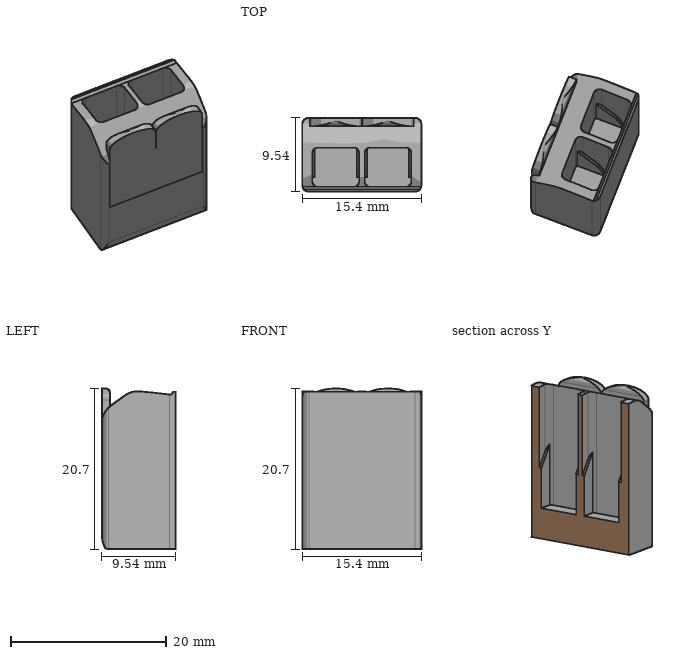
import cadquery as cq
import math

WIDTH = 15.38
DEPTH = 9.54
HEIGHT = 20.73
FRONT = -DEPTH / 2
BACK = DEPTH / 2

CORNER_RADIUS = 0.85
CROWN_Z = 20.3
LIP_TOP_WIDTH = 0.31
LIP_WIDTH = 0.62
LIP_ROOT_Z = 19.92
CROWN_RISE_MID = (-2.28, 20.15)
CROWN_FRONT_Y = -0.77
CROWN_BACK_Y = 0.79
SHOULDER_MID = (1.55, 19.98)
SHOULDER_END = (2.35, 19.42)
SLOPE_END_Z = 18.22
BACK_TOP_Z = 16.58
BACK_TOP_MID = (4.44, 17.54)
BACK_BOTTOM_Z = 1.75

PITCH = 6.74
CELL_CENTERS = (-PITCH / 2, PITCH / 2)
POCKET_WIDTH = 6.05
POCKET_FRONT_Y = FRONT + LIP_WIDTH
POCKET_BACK_Y = 0.93
POCKET_RADIUS = 0.77
POCKET_FLOOR_Z = 4.15

RIB_WIDTH = 0.33
RIB_TOP_Z = 12.44
RIB_BEND_Y = -1.93
RIB_BEND_Z = 8.3
RIB_NOSE_Y = -2.92
RIB_NOSE_MID = (-2.63, 6.22)

TAB_GAP = 0.06
TAB_WIDTH = PITCH - TAB_GAP
TAB_THICKNESS = 1.08
TAB_FRONT_Y = BACK - TAB_THICKNESS
TAB_CROWN_RISE = 1.47
TAB_SHOULDER_Z = HEIGHT - TAB_CROWN_RISE
TAB_EDGE_THICKNESS = 0.4
TAB_EDGE_DROP = 0.79
INSERT_WIDTH = PITCH + TAB_WIDTH
INSERT_BOTTOM_Z = 8.3
INSERT_BASE_TOP_Z = 16.17


def housing_block():
    """Side profile extruded across X, with rounded vertical corners."""
    slope_end_y = BACK - CORNER_RADIUS
    bottom_mid = (
        slope_end_y + CORNER_RADIUS * math.sqrt(0.5),
        BACK_BOTTOM_Z * (1 - math.sqrt(0.5)),
    )
    top_curve = [
        CROWN_RISE_MID,
        (CROWN_FRONT_Y, CROWN_Z),
        (CROWN_BACK_Y, CROWN_Z),
        SHOULDER_MID,
        SHOULDER_END,
        (slope_end_y, SLOPE_END_Z),
        BACK_TOP_MID,
        (BACK, BACK_TOP_Z),
    ]
    profile = (
        cq.Workplane("YZ", origin=(-WIDTH / 2, 0, 0))
        .moveTo(FRONT, 0)
        .lineTo(FRONT, CROWN_Z)
        .lineTo(FRONT + LIP_TOP_WIDTH, CROWN_Z)
        .lineTo(FRONT + LIP_WIDTH, LIP_ROOT_Z)
        .spline(top_curve, includeCurrent=True)
        .lineTo(BACK, BACK_BOTTOM_Z)
        .spline(
            [bottom_mid, (slope_end_y, 0)],
            tangents=[(0, -1), (-1, 0)],
            includeCurrent=True,
        )
        .close()
        .extrude(WIDTH)
    )
    rounded_outline = (
        cq.Workplane("XY").rect(WIDTH, DEPTH).extrude(HEIGHT).edges("|Z").fillet(CORNER_RADIUS)
    )
    return profile.intersect(rounded_outline)


def pocket(center_x):
    """Rounded rectangular pocket, open at the top."""
    length = POCKET_BACK_Y - POCKET_FRONT_Y
    center_y = (POCKET_BACK_Y + POCKET_FRONT_Y) / 2
    return (
        cq.Workplane("XY", origin=(center_x, center_y, POCKET_FLOOR_Z))
        .rect(POCKET_WIDTH, length)
        .extrude(HEIGHT - POCKET_FLOOR_Z)
        .edges("|Z")
        .fillet(POCKET_RADIUS)
    )


def guide_rib(start_x):
    """Ramp with a curved nose, rising towards the back of a pocket."""
    return (
        cq.Workplane("YZ", origin=(start_x, 0, 0))
        .moveTo(POCKET_BACK_Y, POCKET_FLOOR_Z)
        .lineTo(POCKET_BACK_Y, RIB_TOP_Z)
        .lineTo(RIB_BEND_Y, RIB_BEND_Z)
        .threePointArc(RIB_NOSE_MID, (RIB_NOSE_Y, POCKET_FLOOR_Z))
        .close()
        .extrude(RIB_WIDTH)
    )


def insert_slot():
    """Slot across the back that holds the tab insert."""
    return cq.Workplane("XY", origin=(0, BACK, INSERT_BOTTOM_Z)).box(
        INSERT_WIDTH, 2 * TAB_THICKNESS, HEIGHT, centered=(True, True, False)
    )


def make_housing():
    housing = housing_block().cut(insert_slot())
    for center_x in CELL_CENTERS:
        cavity = pocket(center_x)
        left_rib_x = center_x - POCKET_WIDTH / 2
        right_rib_x = center_x + POCKET_WIDTH / 2 - RIB_WIDTH
        for rib_x in (left_rib_x, right_rib_x):
            cavity = cavity.cut(guide_rib(rib_x))
        housing = housing.cut(cavity)
    return housing


def tab(center_x):
    """Upright tab with an elliptical crown and a rounded upper front edge."""
    half = TAB_WIDTH / 2
    crown = (
        cq.Workplane("XZ", origin=(center_x, BACK, 0))
        .moveTo(-half, INSERT_BASE_TOP_Z)
        .lineTo(half, INSERT_BASE_TOP_Z)
        .lineTo(half, TAB_SHOULDER_Z)
        .ellipseArc(half, TAB_CROWN_RISE, 0, 180, startAtCurrent=True)
        .close()
        .extrude(TAB_THICKNESS)
    )
    side = (
        cq.Workplane("YZ", origin=(center_x - half, 0, 0))
        .moveTo(BACK, INSERT_BASE_TOP_Z)
        .lineTo(BACK, HEIGHT)
        .lineTo(BACK - TAB_EDGE_THICKNESS, HEIGHT)
        .spline(
            [(TAB_FRONT_Y, HEIGHT - TAB_EDGE_DROP)],
            tangents=[(-1, 0), (0, -1)],
            includeCurrent=True,
        )
        .lineTo(TAB_FRONT_Y, INSERT_BASE_TOP_Z)
        .close()
        .extrude(TAB_WIDTH)
    )
    return crown.intersect(side)


def make_tab_insert():
    """Plate in the slot, carrying one tab behind each pocket."""
    base_height = INSERT_BASE_TOP_Z - INSERT_BOTTOM_Z
    insert = cq.Workplane("XY", origin=(0, BACK - TAB_THICKNESS / 2, INSERT_BOTTOM_Z)).box(
        INSERT_WIDTH, TAB_THICKNESS, base_height, centered=(True, True, False)
    )
    for center_x in CELL_CENTERS:
        insert = insert.union(tab(center_x))
    return insert


housing = make_housing()
tab_insert = make_tab_insert()

result = cq.Compound.makeCompound([housing.solids().val(), tab_insert.solids().val()])